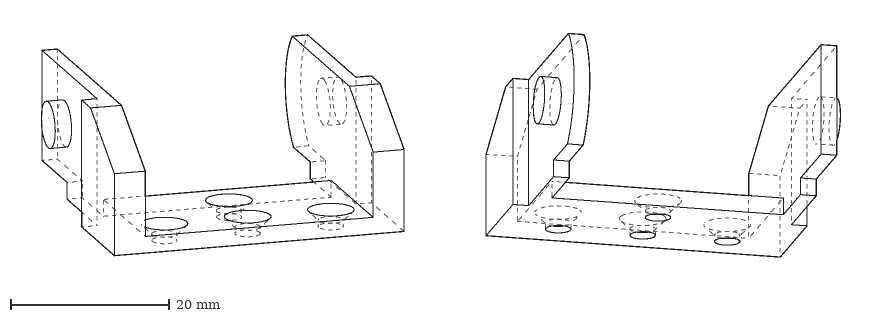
import cadquery as cq
import math

length = 37.7
height = 16.65
inner_width = 30.1
wall = 2.05

plate_length = 18.0
plate_thickness = 2.2

step_length = 10.7
bevel_length = 10.2
bevel_angle = 30.0

pad_thickness = 2.05
pad_start = 23.65

pin_diameter = 6.0
pin_span = 38.5
pin_drop = 7.0
pin_x = 9.7

hole_diameter = 3.2
sink_diameter = 5.9
sink_angle = 90.0
hole_edge_distance = 5.0
hole_spacing_x = 8.0
hole_spacing_y = 11.0

inner_face = inner_width / 2
outer_face = inner_face + wall
pin_z = height - pin_drop
bevel_drop = bevel_length * math.tan(math.radians(bevel_angle))
hole_x = length - hole_edge_distance
hole_points = [
    (hole_x - hole_spacing_x, 0),
    (hole_x, -hole_spacing_y),
    (hole_x, 0),
    (hole_x, hole_spacing_y),
]


def extrude_outward(profile, start, depth, side):
    """Extrude an XZ profile away from the centre plane, from |y| = start, toward side (+1 or -1)."""
    return profile.extrude(-side * depth).translate((0, side * start, 0))


def side_profile(rounded):
    """Arm outline with a square or a rounded free end."""
    outline = cq.Workplane("XZ")
    if rounded:
        top_x = pin_x - math.sqrt(pin_x**2 - pin_drop**2)
        step_x = pin_x - math.sqrt(pin_x**2 - (pin_z - plate_thickness) ** 2)
        outline = outline.moveTo(step_x, plate_thickness)
        outline = outline.threePointArc((0, pin_z), (top_x, height))
    else:
        outline = outline.moveTo(0, plate_thickness).lineTo(0, height)
    return (
        outline.lineTo(length - bevel_length, height)
        .lineTo(length, height - bevel_drop)
        .lineTo(length, 0)
        .lineTo(step_length, 0)
        .lineTo(step_length, plate_thickness)
        .close()
    )


def pad_profile():
    """Outline of the thickened pad, sharing the arm's bevel."""
    return (
        cq.Workplane("XZ")
        .moveTo(pad_start, 0)
        .lineTo(pad_start, height)
        .lineTo(length - bevel_length, height)
        .lineTo(length, height - bevel_drop)
        .lineTo(length, 0)
        .close()
    )


def arm(side, rounded):
    """One arm with its pad and pin."""
    web = extrude_outward(side_profile(rounded), inner_face, wall, side)
    pad = extrude_outward(pad_profile(), outer_face, pad_thickness, side)
    pin_circle = cq.Workplane("XZ").center(pin_x, pin_z).circle(pin_diameter / 2)
    pin = extrude_outward(pin_circle, outer_face, pin_span / 2 - outer_face, side)
    return web.union(pad).union(pin)


def floor_plate():
    """Floor plate with countersunk screw holes."""
    plate = cq.Workplane("XY").box(
        plate_length, inner_width, plate_thickness, centered=(False, True, False)
    )
    plate = plate.translate((length - plate_length, 0, 0))
    return (
        plate.faces(">Z")
        .workplane(origin=(0, 0, plate_thickness))
        .pushPoints(hole_points)
        .cskHole(hole_diameter, sink_diameter, sink_angle)
    )


front_arm = arm(side=-1, rounded=False)
rear_arm = arm(side=1, rounded=True)
result = floor_plate().union(front_arm).union(rear_arm)